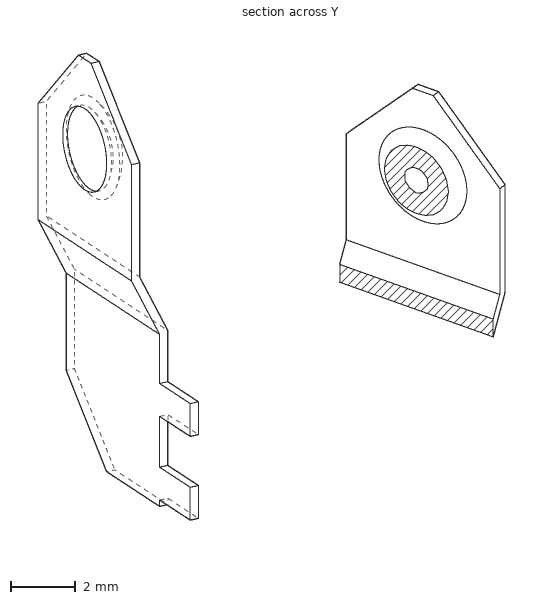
import cadquery as cq
import math

length = 14.1
body_width = 5.77
overall_width = 7.65
thickness = 0.3
corner_cut = 2.5

setback = 1.0
upper_bend_z = 7.73
lower_bend_z = 5.74

tab_length = overall_width - body_width
tab_height = 1.1
tab_pitch = 2.79
first_tab_z = 0.21
tab_count = 2

dome_x = body_width / 2
dome_z = 11.1
dome_base_radius = 1.65
dome_height = 0.7
hollow_radius = 1.35


def joggled_sheet():
    """Side profile of constant thickness, extruded across the full width."""
    bend_angle = math.atan2(setback, upper_bend_z - lower_bend_z)
    miter_offset = thickness * math.tan(bend_angle / 2)
    lower_back = setback + thickness
    profile = [
        (setback, 0),
        (setback, lower_bend_z),
        (0, upper_bend_z),
        (0, length),
        (thickness, length),
        (thickness, upper_bend_z + miter_offset),
        (lower_back, lower_bend_z + miter_offset),
        (lower_back, 0),
    ]
    return cq.Workplane("YZ").polyline(profile).close().extrude(overall_width)


def front_outline():
    """Body outline with three cut corners and side tabs, as a solid for trimming."""
    depth = setback + thickness
    corners = [
        (corner_cut, 0),
        (body_width, 0),
        (body_width, length - corner_cut),
        (body_width - corner_cut, length),
        (corner_cut, length),
        (0, length - corner_cut),
        (0, corner_cut),
    ]
    outline = cq.Workplane("XZ").polyline(corners).close().extrude(-depth)
    for index in range(tab_count):
        tab_z = first_tab_z + index * tab_pitch
        tab = cq.Workplane("XY").box(tab_length, depth, tab_height, centered=False)
        outline = outline.union(tab.translate((body_width, 0, tab_z)))
    return outline


def dome_ball(radius):
    """Ball about the center shared by the inner and outer dome surfaces."""
    return cq.Workplane("XY").sphere(radius).translate((dome_x, dome_center_y, dome_z))


def dome_cylinder(radius, start_y, depth):
    """Cylinder on the dome axis, running from start_y toward +Y."""
    axis_plane = cq.Workplane("XZ", origin=(dome_x, start_y, dome_z))
    return axis_plane.circle(radius).extrude(-depth)


outer_radius = (dome_base_radius**2 + dome_height**2) / (2 * dome_height)
inner_radius = outer_radius - thickness
dome_center_y = thickness + dome_height - outer_radius

dome = dome_ball(outer_radius).intersect(dome_cylinder(dome_base_radius, thickness, dome_height))
hollow = dome_ball(inner_radius).intersect(dome_cylinder(hollow_radius, 0, thickness + dome_height))

result = joggled_sheet().intersect(front_outline()).union(dome).cut(hollow)